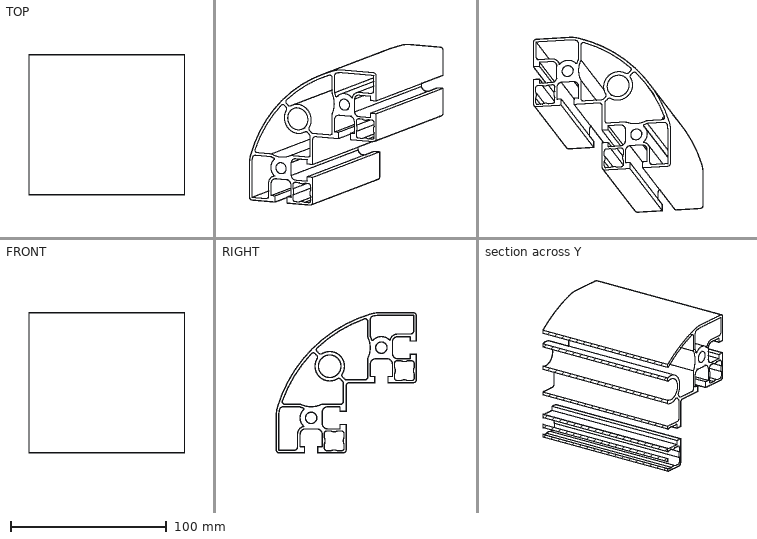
import cadquery as cq
import math

LENGTH = 100.0
SIZE = 90.0
MODULE = 45.0
WALL = 1.8
CORNER_RADIUS = 2.0
INNER_CORNER_RADIUS = 2.0

CURVE_RADIUS = 89.0
CURVE_CENTRE = 3.9
EASE_RADIUS = 20.0
CURVE_WALL = 1.9

EASE_V = SIZE - EASE_RADIUS
EASE_RISE = EASE_V - CURVE_CENTRE
EASE_RUN = math.sqrt((CURVE_RADIUS - EASE_RADIUS) ** 2 - EASE_RISE**2)
EASE_U = CURVE_CENTRE + EASE_RUN
EASE_SWEEP = math.atan2(EASE_RUN, EASE_RISE)

MODULE_AXIS = MODULE / 2
SLOT_OPENING = 8.4
SLOT_WIDTH = 14.0
SLOT_DEPTH = 15.3
SLOT_RADIUS = 3.2
LIP_THICKNESS = 4.1

SCREW_HOLE_DIAMETER = 7.2
CORE_RADIUS = MODULE_AXIS - SLOT_DEPTH

CHAMBER_START = 1.5
CHAMBER_END = 14.0
CHAMBER_RADIUS = 1.5
CHAMBER_RIB_WIDTH = 4.0
CHAMBER_RIB_HEIGHT = 0.5

POCKET_LOW_RADIUS = 2.0
POCKET_HIGH_RADIUS = 2.2
POCKET_NOTCH_RADIUS = 0.5
CAVITY_FLOOR = 2.0
CAVITY_RADIUS = 1.5

TUBE_CENTRE = 55.6
TUBE_BORE_DIAMETER = 14.3
TUBE_RADIUS = 9.5
WEB_THICKNESS = 2.0

PROFILE_PLANE = cq.Plane(origin=(LENGTH, SIZE, 0), xDir=(0, -1, 0), normal=(-1, 0, 0))
SLOT_LOW = MODULE_AXIS - SLOT_WIDTH / 2
SLOT_HIGH = MODULE_AXIS + SLOT_WIDTH / 2
AXIS_U = MODULE_AXIS
AXIS_V = MODULE + MODULE_AXIS


def profile():
    return cq.Workplane(PROFILE_PLANE)


def block(u_start, u_end, v_start, v_end):
    """Full-length block between two corners of the profile."""
    width = u_end - u_start
    height = v_end - v_start
    return profile().center(u_start, v_start).rect(width, height, centered=False).extrude(LENGTH)


def cylinder(u, v, radius):
    return profile().center(u, v).circle(radius).extrude(LENGTH)


def long_edge(solid, u, v):
    """The lengthwise edge of the solid nearest to the point (u, v)."""
    return solid.edges("|X").edges(cq.NearestToPointSelector((LENGTH / 2, SIZE - u, v)))


def mirrored(solid):
    """Copy of the solid on the other side of the diagonal u = v."""
    return solid.mirror(cq.Vector(0, 1, 1), (0, 0, SIZE))


def envelope(inset):
    """Solid quarter shape under the curved wall, drawn in from the outside by inset."""
    top = SIZE - inset
    curve_radius = CURVE_RADIUS - inset
    ease_radius = EASE_RADIUS - inset

    def ease_point(angle):
        return EASE_U + ease_radius * math.sin(angle), EASE_V + ease_radius * math.cos(angle)

    ease_mid = ease_point(EASE_SWEEP / 2)
    ease_end = ease_point(EASE_SWEEP)
    diagonal = CURVE_CENTRE + curve_radius / math.sqrt(2)
    return (
        profile()
        .moveTo(inset, inset)
        .lineTo(inset, top)
        .lineTo(EASE_U, top)
        .threePointArc(ease_mid, ease_end)
        .threePointArc((diagonal, diagonal), ease_end[::-1])
        .threePointArc(ease_mid[::-1], (top, EASE_U))
        .lineTo(top, inset)
        .close()
        .extrude(LENGTH)
    )


def body():
    solid = envelope(0).cut(block(0, MODULE, 0, MODULE))
    solid = long_edge(solid, MODULE, MODULE).fillet(INNER_CORNER_RADIUS)
    for u, v in [(0, MODULE), (0, SIZE), (MODULE, 0), (SIZE, 0)]:
        solid = long_edge(solid, u, v).fillet(CORNER_RADIUS)
    return solid


def side_slot():
    """T-slot open towards u = 0."""
    chamber = block(LIP_THICKNESS, SLOT_DEPTH, MODULE + SLOT_LOW, MODULE + SLOT_HIGH)
    for v in (SLOT_LOW, SLOT_HIGH):
        chamber = long_edge(chamber, SLOT_DEPTH, MODULE + v).fillet(SLOT_RADIUS)
    half_opening = SLOT_OPENING / 2
    return chamber.union(block(0, SLOT_DEPTH, AXIS_V - half_opening, AXIS_V + half_opening))


def bottom_slot():
    """T-slot open downwards: the side slot mirrored across the module's own diagonal."""
    return side_slot().mirror(cq.Vector(0, 1, 1), (0, SIZE, MODULE))


def corner_chamber():
    middle = (CHAMBER_START + CHAMBER_END) / 2
    chamber = block(CHAMBER_START, CHAMBER_END, MODULE + CHAMBER_START, MODULE + CHAMBER_END)
    chamber = chamber.edges("|X").fillet(CHAMBER_RADIUS)
    rib = (
        profile()
        .moveTo(CHAMBER_START, MODULE + middle - CHAMBER_RIB_WIDTH / 2)
        .threePointArc(
            (CHAMBER_START + CHAMBER_RIB_HEIGHT, MODULE + middle),
            (CHAMBER_START, MODULE + middle + CHAMBER_RIB_WIDTH / 2),
        )
        .close()
        .extrude(LENGTH)
    )
    axis_start = (0, SIZE - middle, MODULE + middle)
    axis_end = (LENGTH, SIZE - middle, MODULE + middle)
    for quarter in range(4):
        chamber = chamber.cut(rib.rotate(axis_start, axis_end, 90 * quarter))
    return chamber


def pocket():
    """Closed pocket above the side slot, shaped by the slot wall, the core and the waisted web."""
    slot_wall_end = SLOT_DEPTH + WALL
    waist_radius = SLOT_DEPTH + WALL
    slot_wall_top = MODULE + SLOT_HIGH + WALL
    slot_wall = block(0, slot_wall_end, MODULE, slot_wall_top)
    slot_wall = long_edge(slot_wall, slot_wall_end, slot_wall_top).fillet(SLOT_RADIUS + WALL)
    roof_end = cylinder(EASE_U, EASE_V, EASE_RADIUS - WALL)
    roof_end = roof_end.intersect(block(EASE_U, SLOT_HIGH, AXIS_V, SIZE))
    solid = block(WALL, EASE_U, AXIS_V, SIZE - WALL).union(roof_end)
    solid = solid.cut(slot_wall)
    solid = solid.cut(cylinder(AXIS_U, AXIS_V, CORE_RADIUS))
    solid = solid.cut(cylinder(MODULE, AXIS_V, waist_radius))
    solid = solid.intersect(block(0, SLOT_HIGH, AXIS_V + CORE_RADIUS / 2, SIZE))
    span = MODULE - AXIS_U
    notch_u = (span**2 + CORE_RADIUS**2 - waist_radius**2) / (2 * span)
    notch_v = math.sqrt(CORE_RADIUS**2 - notch_u**2)
    solid = long_edge(solid, AXIS_U + notch_u, AXIS_V + notch_v).fillet(POCKET_NOTCH_RADIUS)
    solid = long_edge(solid, WALL, slot_wall_top).fillet(POCKET_LOW_RADIUS)
    return long_edge(solid, SLOT_HIGH, SIZE).fillet(POCKET_HIGH_RADIUS)


def cavity():
    """Large cavity between the module, the tube, its web and the curved wall."""
    left = SLOT_HIGH + WALL
    web_shift = WEB_THICKNESS / math.sqrt(2)
    above_web = (
        profile()
        .polyline([(0, web_shift), (SIZE, SIZE + web_shift), (0, SIZE + web_shift)])
        .close()
        .extrude(LENGTH)
    )
    solid = envelope(CURVE_WALL).intersect(block(left, SIZE, MODULE + CAVITY_FLOOR, SIZE))
    solid = solid.intersect(above_web)
    solid = solid.cut(cylinder(TUBE_CENTRE, TUBE_CENTRE, TUBE_RADIUS))
    solid = solid.edges("|X").fillet(CAVITY_RADIUS)
    waist = cylinder(MODULE, AXIS_V, SLOT_DEPTH).intersect(block(0, left, MODULE, SIZE))
    return solid.union(waist)


def screw_hole():
    return cylinder(AXIS_U, AXIS_V, SCREW_HOLE_DIAMETER / 2)


result = body()
for opening in (side_slot(), bottom_slot(), corner_chamber(), pocket(), cavity(), screw_hole()):
    result = result.cut(opening).cut(mirrored(opening))
result = result.cut(cylinder(TUBE_CENTRE, TUBE_CENTRE, TUBE_BORE_DIAMETER / 2))
result = result.solids()